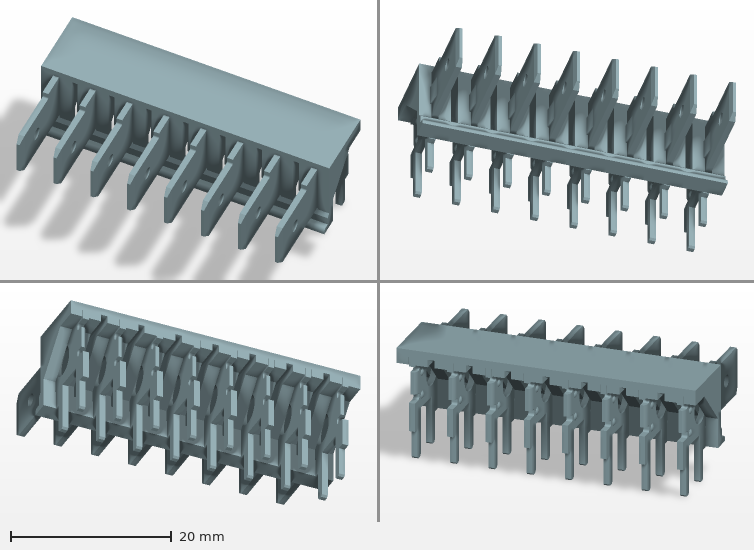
import cadquery as cq
import math


TERMINALS = 8
PITCH = 5.08
END_MARGIN = 2.06
LENGTH = (TERMINALS - 1) * PITCH + 2 * END_MARGIN
SLOT_PITCH = PITCH / 2
FIRST_X = -LENGTH / 2 + END_MARGIN

TOP_Z = 15.0
DEPTH = 9.0
ROOF = 2.0
FRONT_WALL = 1.0
HOUSING_BOTTOM_Z = 4.15
GUSSET_BACK_Y = -3.1
LEDGE_TOP_Z = 6.6
LEDGE_STEP = 0.45
LIP_TOP_Z = 5.0
LIP_REACH = 1.45
LIP_ROUND = 0.5
SLOT_WIDTH = 0.88
SLOT_TOP_Z = 14.0

THICKNESS = 0.8
OVERALL_DEPTH = 20.0
BLADE_WIDTH = 6.3
BLADE_Z = 10.0
SHOULDER_Y = -12.05
SHOULDER_FILLET = 0.2
TIP_LENGTH = 1.0
TIP_CHAMFER = 0.75
TIP_THICKNESS = 0.4
FOOT_Z = 4.05
BLADE_HOLE_D = 1.65
BLADE_HOLE_Y = -15.45
BODY_HOLE_D = 4.0
BODY_HOLE_Y = -6.05

LEG_WIDTH = 1.1
LEG_PITCH = 5.05
BACK_LEG_Y = -1.55
LEG_TOP_Z = 6.5
LEG_CHAMFER = 0.25

TONGUE_Z = 10.3
TONGUE_WIDTH = 3.0
TONGUE_BACK_Y = -0.5
TONGUE_BEND_Y = -1.25
TONGUE_BEND_RADIUS = 1.0
NOTCH_WIDTH = 0.95
NOTCH_DEPTH = 1.6
NOTCH_ROUND = 0.32
BUMP_D = 1.0
BUMP_HEIGHT = 0.2
BUMP_Y = -2.57
BUMP_SPACING = 3.05
BUMP_Z = 9.6
LATCH_BACK_Y = -9.1
LATCH_LENGTH = 2.0
LATCH_HEIGHT = 0.28
LATCH_TIP_WIDTH = 2.7
LATCH_ROOT_WIDTH = 3.0
LATCH_Z = 10.05


def make_block(x, y, z):
    """Box spanning the given (low, high) ranges."""
    size = (x[1] - x[0], y[1] - y[0], z[1] - z[0])
    return cq.Workplane("XY").box(*size, centered=False).translate((x[0], y[0], z[0]))


def make_housing():
    """Roof, front wall and gusset as one profile, slotted for the terminals."""
    roof_z = TOP_Z - ROOF
    wall_y = -DEPTH + FRONT_WALL
    gusset_z = roof_z - (GUSSET_BACK_Y - wall_y)
    ledge_y = -DEPTH - LEDGE_STEP
    lip_y = -DEPTH - LIP_REACH
    arc_inset = LIP_ROUND * (1 - math.sqrt(0.5))
    housing = (
        cq.Workplane("YZ")
        .moveTo(0, TOP_Z)
        .lineTo(-DEPTH, TOP_Z)
        .lineTo(-DEPTH, LEDGE_TOP_Z)
        .lineTo(ledge_y, LEDGE_TOP_Z - LEDGE_STEP)
        .lineTo(ledge_y, LIP_TOP_Z)
        .lineTo(lip_y + LIP_ROUND, LIP_TOP_Z)
        .threePointArc((lip_y + arc_inset, LIP_TOP_Z - arc_inset), (lip_y, LIP_TOP_Z - LIP_ROUND))
        .lineTo(lip_y, HOUSING_BOTTOM_Z)
        .lineTo(wall_y, HOUSING_BOTTOM_Z)
        .lineTo(wall_y, gusset_z)
        .lineTo(GUSSET_BACK_Y, roof_z)
        .lineTo(0, roof_z)
        .close()
        .extrude(LENGTH / 2, both=True)
    )
    for i in range(2 * TERMINALS - 1):
        x = FIRST_X + i * SLOT_PITCH
        x_range = (x - SLOT_WIDTH / 2, x + SLOT_WIDTH / 2)
        housing = housing.cut(make_block(x_range, (-DEPTH, 0), (LEDGE_TOP_Z, SLOT_TOP_Z)))
    return housing


def make_plate():
    """Flat outline of a terminal without its legs, with both holes."""
    blade_top = BLADE_Z + BLADE_WIDTH / 2
    blade_bottom = BLADE_Z - BLADE_WIDTH / 2
    foot_front_y = -DEPTH + FRONT_WALL
    blade_tip_y = -OVERALL_DEPTH
    plate = (
        cq.Workplane("YZ")
        .moveTo(0, SLOT_TOP_Z)
        .lineTo(SHOULDER_Y, SLOT_TOP_Z)
        .lineTo(SHOULDER_Y, blade_top)
        .lineTo(blade_tip_y + TIP_LENGTH, blade_top)
        .lineTo(blade_tip_y, blade_top - TIP_CHAMFER)
        .lineTo(blade_tip_y, blade_bottom + TIP_CHAMFER)
        .lineTo(blade_tip_y + TIP_LENGTH, blade_bottom)
        .lineTo(foot_front_y, blade_bottom)
        .lineTo(foot_front_y, FOOT_Z)
        .lineTo(0, FOOT_Z)
        .close()
        .extrude(THICKNESS / 2, both=True)
    )
    inner_corner = cq.selectors.NearestToPointSelector((0, SHOULDER_Y, blade_top))
    plate = plate.edges("|X").edges(inner_corner).fillet(SHOULDER_FILLET)
    holes = (
        cq.Workplane("YZ")
        .pushPoints([(BLADE_HOLE_Y, BLADE_Z)])
        .circle(BLADE_HOLE_D / 2)
        .extrude(THICKNESS, both=True)
        .pushPoints([(BODY_HOLE_Y, BLADE_Z)])
        .circle(BODY_HOLE_D / 2)
        .extrude(THICKNESS, both=True)
    )
    return plate.cut(holes)


def add_legs(plate):
    """Two solder legs with chamfered tips and the open gap between them."""
    half_x = (-THICKNESS / 2, THICKNESS / 2)
    front_leg_y = BACK_LEG_Y - LEG_PITCH
    gap_y = (front_leg_y + LEG_WIDTH / 2, BACK_LEG_Y - LEG_WIDTH / 2)
    plate = plate.cut(make_block(half_x, gap_y, (FOOT_Z, LEG_TOP_Z)))
    for y in (BACK_LEG_Y, front_leg_y):
        leg = make_block(half_x, (y - LEG_WIDTH / 2, y + LEG_WIDTH / 2), (0, LEG_TOP_Z))
        plate = plate.union(leg.faces("<Z").edges("|X").chamfer(LEG_CHAMFER))
    return plate


def taper_tip(plate):
    """Thin the blade tip from both faces."""
    tip_y = -OVERALL_DEPTH
    for side in (-1, 1):
        wedge = (
            cq.Workplane("XY")
            .moveTo(side * THICKNESS / 2, tip_y + TIP_LENGTH)
            .lineTo(side * THICKNESS / 2, tip_y)
            .lineTo(side * TIP_THICKNESS / 2, tip_y)
            .close()
            .extrude(TOP_Z)
        )
        plate = plate.cut(wedge)
    return plate


def shape_tongue(plate):
    """Notch the back edge above and below a tongue that curves to +X."""
    half_x = (-THICKNESS / 2, THICKNESS / 2)
    bottom = TONGUE_Z - TONGUE_WIDTH / 2
    top = TONGUE_Z + TONGUE_WIDTH / 2
    for low in (bottom - NOTCH_WIDTH, top):
        notch = make_block(half_x, (-NOTCH_DEPTH, 0), (low, low + NOTCH_WIDTH))
        plate = plate.cut(notch.faces("<Y").edges("|X").fillet(NOTCH_ROUND))
    bend = (
        cq.Workplane("XY")
        .center(half_x[0] + TONGUE_BEND_RADIUS, TONGUE_BEND_Y)
        .circle(TONGUE_BEND_RADIUS)
        .extrude(TONGUE_WIDTH)
        .translate((0, 0, bottom))
    )
    beside_bend = make_block(half_x, (TONGUE_BEND_Y, 0), (bottom, top)).cut(bend)
    behind_tongue = make_block(half_x, (TONGUE_BACK_Y, 0), (bottom, top))
    return plate.cut(beside_bend).cut(behind_tongue)


def add_bumps(plate):
    """Two low spherical bumps on the -X face."""
    face_x = -THICKNESS / 2
    rim = BUMP_D / 2
    half_rim = rim / 2
    sphere_radius = (rim**2 + BUMP_HEIGHT**2) / (2 * BUMP_HEIGHT)
    half_rim_height = BUMP_HEIGHT - sphere_radius + math.sqrt(sphere_radius**2 - half_rim**2)
    cap = (
        cq.Workplane("XY")
        .moveTo(face_x, 0)
        .lineTo(face_x - BUMP_HEIGHT, 0)
        .threePointArc((face_x - half_rim_height, half_rim), (face_x, rim))
        .close()
        .revolve(360, (0, 0, 0), (1, 0, 0))
    )
    for side in (-1, 1):
        plate = plate.union(cap.translate((0, BUMP_Y, BUMP_Z + side * BUMP_SPACING / 2)))
    return plate


def add_latch(plate):
    """Ramp on the -X face, highest next to the housing."""
    face_x = -THICKNESS / 2
    front_y = LATCH_BACK_Y - LATCH_LENGTH
    ramp = (
        cq.Workplane("XY")
        .moveTo(face_x, LATCH_BACK_Y)
        .lineTo(face_x - LATCH_HEIGHT, LATCH_BACK_Y)
        .lineTo(face_x, front_y)
        .close()
        .extrude(TOP_Z)
    )
    outline = (
        cq.Workplane("YZ")
        .moveTo(LATCH_BACK_Y, LATCH_Z - LATCH_TIP_WIDTH / 2)
        .lineTo(LATCH_BACK_Y, LATCH_Z + LATCH_TIP_WIDTH / 2)
        .lineTo(front_y, LATCH_Z + LATCH_ROOT_WIDTH / 2)
        .lineTo(front_y, LATCH_Z - LATCH_ROOT_WIDTH / 2)
        .close()
        .extrude(THICKNESS, both=True)
    )
    return plate.union(ramp.intersect(outline))


def make_terminal():
    plate = add_legs(make_plate())
    plate = taper_tip(plate)
    plate = shape_tongue(plate)
    plate = add_bumps(plate)
    return add_latch(plate)


result = make_housing()
terminal = make_terminal()
for i in range(TERMINALS):
    result = result.union(terminal.translate((FIRST_X + i * PITCH, 0, 0)))